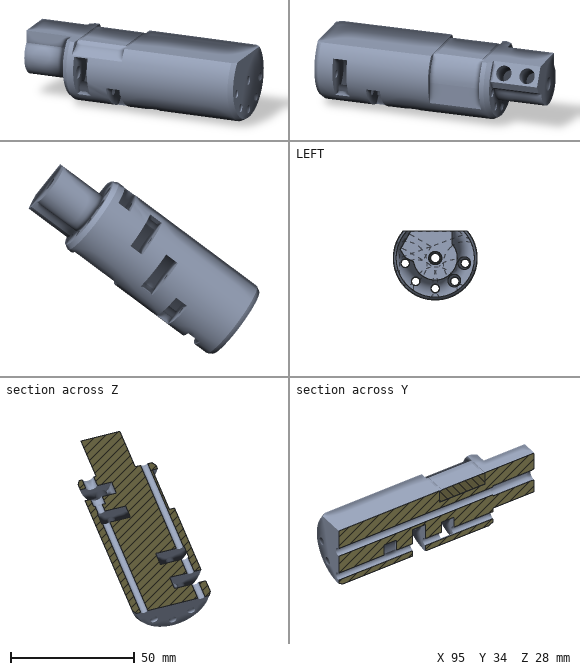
import cadquery as cq
import math


total_length = 95.0
shank_length = 19.95
barrel_radius = 17.0
flat_height = 11.0
chamfer_length = 2.0
chamfer_drop = 1.1

shank_radius = 8.9
shank_side_y = -6.7
wing_face_angle = 30.0
wing_face_distance = 14.1
wing_tip_z = 3.5
wing_knee = (12.3, 0.3)
wing_foot = (8.7, -1.5)

screw_diameter = 6.5
screw_first_x = 4.9
screw_pitch = 10.0
screw_count = 2
screw_end_distance = 3.8

bore_mouth_diameter = 5.4
bore_diameter = 4.9
bore_taper_length = 2.0
bore_through_diameter = 3.7

station_count = 5
station_angles = [190.0 + 40.0 * i for i in range(station_count)]
hole_diameter = 3.3
hole_circle_radius = 12.35
channel_diameter = 5.1
channel_circle_radius = 12.0
channel_end_x = 35.0
channel_count = 2

notch_first_x = 25.0
notch_pitch = 14.0
notch_width = 6.0
notch_radius = 8.8

cover_start_x = 23.9
cover_length = 21.9
cover_radius = 14.5
cover_edge_angle = 140.0
relief_outer = (-15.6, 6.5)
seat_low_z = 0.0
cover_step_length = 1.0
cover_step_depth = 0.2

CLEAR = 4.75


def yz_plane(x):
    """Sketch plane across the barrel at x: local x is Y, local y is Z, extruding toward +X."""
    return cq.Workplane("YZ", origin=(x, 0, 0))


def polar(radius, angle):
    return (radius * math.cos(math.radians(angle)), radius * math.sin(math.radians(angle)))


def below_flat(x, length):
    """Block holding everything under the flat top face."""
    span = 4 * barrel_radius
    return yz_plane(x).center(0, flat_height - span / 2).rect(span, span).extrude(length)


def make_barrel():
    end_radius = barrel_radius - chamfer_drop
    barrel = (
        cq.Workplane("XY")
        .moveTo(shank_length, 0)
        .lineTo(shank_length, end_radius)
        .lineTo(shank_length + chamfer_length, barrel_radius)
        .lineTo(total_length - chamfer_length, barrel_radius)
        .lineTo(total_length, end_radius)
        .lineTo(total_length, 0)
        .close()
        .revolve(360, (0, 0, 0), (1, 0, 0))
    )
    return barrel.intersect(below_flat(0, total_length))


def wing_face_y(z):
    """Y of the clamping face at height z."""
    normal_y, normal_z = polar(1, wing_face_angle)
    return (wing_face_distance - z * normal_z) / normal_y


def make_shank():
    core = yz_plane(0).circle(shank_radius).extrude(shank_length)
    wing = (
        yz_plane(0)
        .moveTo(shank_side_y, 0)
        .lineTo(shank_side_y, flat_height)
        .lineTo(wing_face_y(flat_height), flat_height)
        .lineTo(wing_face_y(wing_tip_z), wing_tip_z)
        .lineTo(*wing_knee)
        .lineTo(*wing_foot)
        .lineTo(0, 0)
        .close()
        .extrude(shank_length)
    )
    return core.union(wing)


def make_screw_holes():
    direction = cq.Vector(0, *polar(1, wing_face_angle))
    length = wing_face_distance + CLEAR - screw_end_distance
    bottom = polar(screw_end_distance, wing_face_angle)
    holes = cq.Workplane("XY")
    for i in range(screw_count):
        start = cq.Vector(screw_first_x + i * screw_pitch, *bottom)
        holes = holes.add(cq.Solid.makeCylinder(screw_diameter / 2, length, start, direction))
    return holes.combine()


def make_centre_bore():
    return (
        cq.Workplane("XY")
        .lineTo(0, bore_mouth_diameter / 2)
        .lineTo(bore_taper_length, bore_diameter / 2)
        .lineTo(shank_length, bore_diameter / 2)
        .lineTo(shank_length, bore_through_diameter / 2)
        .lineTo(total_length, bore_through_diameter / 2)
        .lineTo(total_length, 0)
        .close()
        .revolve(360, (0, 0, 0), (1, 0, 0))
    )


def make_long_holes():
    hole_points = [polar(hole_circle_radius, a) for a in station_angles]
    channel_points = [polar(channel_circle_radius, a) for a in station_angles[:channel_count]]
    holes = (
        yz_plane(shank_length)
        .pushPoints(hole_points)
        .circle(hole_diameter / 2)
        .extrude(total_length - shank_length)
    )
    channels = (
        yz_plane(shank_length)
        .pushPoints(channel_points)
        .circle(channel_diameter / 2)
        .extrude(channel_end_x - shank_length)
    )
    return holes.union(channels)


def make_notch(index):
    """Round notch concentric with the long hole of its station."""
    centre = polar(hole_circle_radius, station_angles[index])
    return (
        yz_plane(notch_first_x + index * notch_pitch)
        .center(*centre)
        .circle(notch_radius)
        .extrude(notch_width)
    )


def make_cover_recess():
    """Clearance above the relief, above the seat and outside the tangent face on the +Y side."""
    outer = barrel_radius + CLEAR
    cover_edge = polar(cover_radius, cover_edge_angle)
    slope = (cover_edge[1] - relief_outer[1]) / (cover_edge[0] - relief_outer[0])
    relief_end_z = relief_outer[1] - slope * (outer + relief_outer[0])
    return (
        yz_plane(cover_start_x)
        .moveTo(-outer, relief_end_z)
        .lineTo(*cover_edge)
        .lineTo(cover_radius, seat_low_z)
        .lineTo(cover_radius, -outer)
        .lineTo(outer, -outer)
        .lineTo(outer, outer)
        .lineTo(-outer, outer)
        .close()
        .extrude(cover_length)
    )


def make_housing():
    housing = make_barrel().union(make_shank())
    housing = housing.cut(make_screw_holes()).cut(make_centre_bore()).cut(make_long_holes())
    for index in range(station_count):
        housing = housing.cut(make_notch(index))
    return housing.cut(make_cover_recess())


def make_cover():
    """Round-backed cover on the sloping seat, flush with the flat top and stepped at both ends."""
    cover = yz_plane(cover_start_x).circle(cover_radius).extrude(cover_length)
    cover = cover.intersect(make_cover_recess()).intersect(below_flat(cover_start_x, cover_length))
    for x in (cover_start_x, cover_start_x + cover_length - cover_step_length):
        step = (
            yz_plane(x)
            .center(0, flat_height)
            .rect(2 * cover_radius, 2 * cover_step_depth)
            .extrude(cover_step_length)
        )
        cover = cover.cut(step)
    return cover


housing = make_housing()
cover = make_cover()

result = cq.Compound.makeCompound([housing.solids().val(), cover.solids().val()])